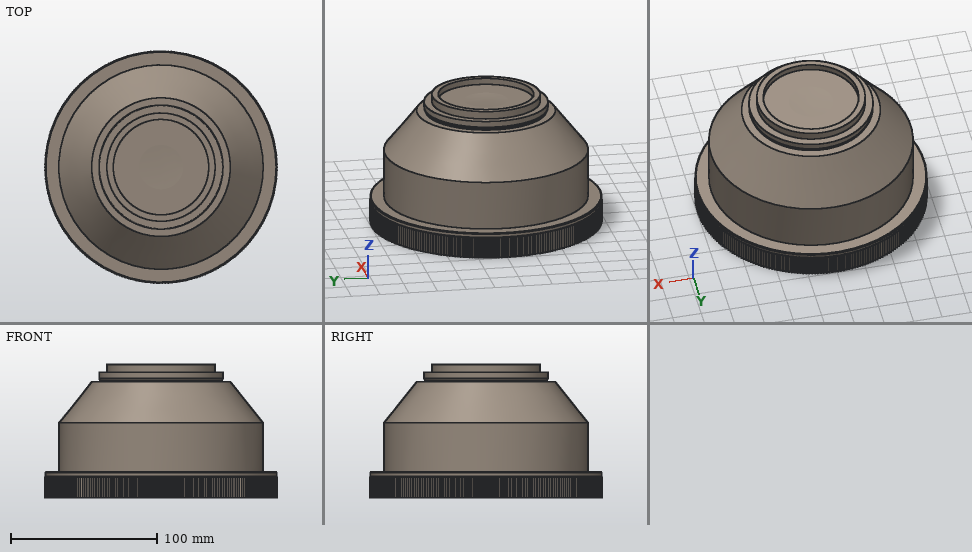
import cadquery as cq
import math

total_height = 91.33

collar_radius = 79.5
rim_radius = 79.4
rim_chamfer = 0.6
collar_height = 17.7
knurl_height = 14.2
knurl_count = 250
knurl_depth = 1.0

body_radius = 70.0
body_top = 51.3
cone_top = 79.5
cone_top_radius = 47.5

neck_radius = 41.5
neck_top = 80.5
flange_taper_radius = 42.0
flange_radius = 42.5
flange_bottom = 81.9
flange_top = 86.0
cap_radius = 37.1

recess_radius = 32.7
recess_depth = 4.3
dish_radius = 15.2
dish_sag = 0.65


def build_body():
    """Revolved outer shape, from the collar rim to the top of the cap."""
    profile = [
        (0, knurl_height),
        (rim_radius - rim_chamfer, knurl_height),
        (rim_radius, knurl_height + rim_chamfer),
        (rim_radius, collar_height - rim_chamfer),
        (rim_radius - rim_chamfer, collar_height),
        (body_radius, collar_height),
        (body_radius, body_top),
        (cone_top_radius, cone_top),
        (neck_radius, cone_top),
        (neck_radius, neck_top),
        (flange_taper_radius, neck_top),
        (flange_radius, flange_bottom),
        (flange_radius, flange_top),
        (cap_radius, flange_top),
        (cap_radius, total_height),
        (0, total_height),
    ]
    return cq.Workplane("XZ").polyline(profile).close().revolve(360, (0, 0, 0), (0, 1, 0))


def build_knurl():
    """Fluted disc with V grooves between sharp ridges."""
    half_pitch = math.pi / knurl_count
    outline = []
    for step in range(2 * knurl_count):
        radius = collar_radius - knurl_depth * (step % 2)
        angle = step * half_pitch
        outline.append((radius * math.cos(angle), radius * math.sin(angle)))
    return cq.Workplane("XY").polyline(outline).close().extrude(knurl_height)


def build_recess():
    """Cutter for the recess and the dish in its floor."""
    floor = total_height - recess_depth
    profile = (
        cq.Workplane("XZ")
        .moveTo(0, floor - dish_sag)
        .lineTo(0, total_height)
        .lineTo(recess_radius, total_height)
        .lineTo(recess_radius, floor)
        .lineTo(dish_radius, floor)
    )
    sphere_radius = (dish_radius**2 + dish_sag**2) / (2 * dish_sag)
    mid_x = dish_radius / 2
    mid_z = floor - dish_sag + sphere_radius - math.sqrt(sphere_radius**2 - mid_x**2)
    profile = profile.threePointArc((mid_x, mid_z), (0, floor - dish_sag)).close()
    return profile.revolve(360, (0, 0, 0), (0, 1, 0))


result = build_body().union(build_knurl()).cut(build_recess())